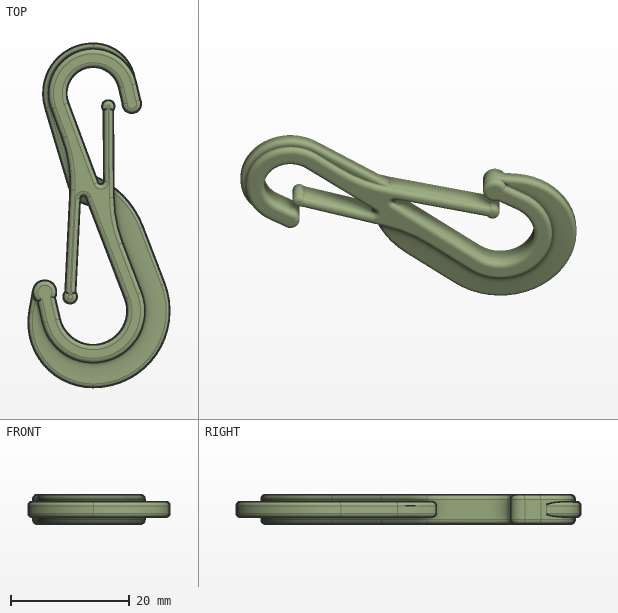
import cadquery as cq
import math


BODY_HEIGHT = 5.0
BODY_FILLET = 0.8
RIM_HEIGHT = 2.6
RIM_FILLET = 0.65
HOOK_SPACING = 36.83
NOSE_ANGLE = 13.0
RIM_NOSE_ANGLE = 10.0
CROTCH_RADIUS = 0.5
BLEND_RADIUS = 22.0

LARGE = dict(
    turned=False,
    eye_radius=5.75,
    bar_radius=8.8,
    spine_angle=21.0,
    nose_length=4.94,
    nose_radius=2.0,
    gate_tip=(-3.88, 2.4),
    gate_tilt=2.8,
    gate_width=1.8,
    gate_tip_radius=1.18,
    rim_radius=13.0,
    rim_nose_radius=11.0,
    rim_nose_length=3.4,
    rim_angle=21.0,
    rim_line_length=10.3,
    shoulder_radius=15.2,
    shoulder_sweep=48.0,
)
SMALL = dict(
    turned=True,
    eye_radius=4.45,
    bar_radius=7.55,
    spine_angle=20.4,
    nose_length=3.17,
    nose_radius=1.6,
    gate_tip=(-2.58, 2.2),
    gate_tilt=-0.4,
    gate_width=1.7,
    gate_tip_radius=1.07,
    rim_radius=8.5,
    rim_nose_radius=7.2,
    rim_nose_length=1.5,
    rim_angle=16.7,
    rim_line_length=13.9,
    shoulder_radius=4.65,
    shoulder_sweep=72.0,
)


def polar(radius, angle, centre=(0.0, 0.0)):
    """Point at a radius and an angle in degrees about a centre."""
    turn = math.radians(angle)
    return (centre[0] + radius * math.cos(turn), centre[1] + radius * math.sin(turn))


def place(hook, point):
    """Move a point from a hook's own frame to the part's frame."""
    x, y = point
    return (-x, HOOK_SPACING - y) if hook["turned"] else (x, y)


def middle_radius(hook):
    """Radius of the bar's centre line around the eye."""
    return (hook["eye_radius"] + hook["bar_radius"]) / 2


def nose_tip(hook):
    """Centre of the round post at the end of the nose."""
    start = polar(middle_radius(hook), 180 + NOSE_ANGLE)
    return polar(hook["nose_length"], 90 + NOSE_ANGLE, start)


def line_crossing(start_a, angle_a, start_b, angle_b):
    """Crossing of two lines, each given by a point and a direction in degrees."""
    ax, ay = polar(1, angle_a)
    bx, by = polar(1, angle_b)
    dx = start_b[0] - start_a[0]
    dy = start_b[1] - start_a[1]
    reach = (dx * by - dy * bx) / (ax * by - ay * bx)
    return (start_a[0] + reach * ax, start_a[1] + reach * ay)


def round_corner(corner, angle_in, angle_out, radius):
    """Start, middle and end of the arc rounding a corner; both angles point away from the corner."""
    half = math.radians((angle_out - angle_in) / 2)
    bisector = (angle_in + angle_out) / 2
    setback = radius / abs(math.tan(half))
    to_middle = radius / abs(math.sin(half)) - radius
    start = polar(setback, angle_in, corner)
    middle = polar(to_middle, bisector, corner)
    end = polar(setback, angle_out, corner)
    return start, middle, end


def gate_angle(hook):
    """Direction of the gate from its tip to its root, in degrees."""
    return 90 - hook["gate_tilt"]


def gate_side(hook, side):
    """Point level with the gate tip on its outer (side = 1) or inner (side = -1) face."""
    return polar(side * hook["gate_width"] / 2, 90 + gate_angle(hook), hook["gate_tip"])


def add_half_outline(outline, hook, other):
    """From the outer side of a hook's nose tip, along its eye and gate, to the other hook's nose tip."""
    def at(point):
        return place(hook, point)

    eye = hook["eye_radius"]
    bar = hook["bar_radius"]
    half_bar = (bar - eye) / 2
    tip = nose_tip(hook)
    spine_direction = 90 + hook["spine_angle"]

    outline = outline.threePointArc(
        at(polar(half_bar, 90 + NOSE_ANGLE, tip)), at(polar(half_bar, NOSE_ANGLE, tip)))
    outline = outline.lineTo(*at(polar(eye, 180 + NOSE_ANGLE)))
    spine_start = polar(eye, hook["spine_angle"])
    outline = outline.threePointArc(at(polar(eye, 270)), at(spine_start))

    gate_inner = gate_side(hook, -1)
    crotch = line_crossing(spine_start, spine_direction, gate_inner, gate_angle(hook))
    start, mid, end = round_corner(
        crotch, spine_direction + 180, gate_angle(hook) + 180, CROTCH_RADIUS)
    outline = outline.lineTo(*at(start)).threePointArc(at(mid), at(end))

    gate_outer = gate_side(hook, 1)
    gate_end = polar(hook["gate_width"] / 2, gate_angle(hook) + 180, hook["gate_tip"])
    outline = outline.lineTo(*at(gate_inner)).threePointArc(at(gate_end), at(gate_outer))

    back_direction = 90 + other["spine_angle"]
    back_point = polar(other["bar_radius"], other["spine_angle"])
    back_in_this_frame = (-back_point[0], HOOK_SPACING - back_point[1])
    corner = line_crossing(gate_outer, gate_angle(hook), back_in_this_frame, back_direction)
    start, mid, end = round_corner(corner, gate_angle(hook) + 180, back_direction, BLEND_RADIUS)
    outline = outline.lineTo(*at(start)).threePointArc(at(mid), at(end))

    def at_other(point):
        return place(other, point)

    other_bar = other["bar_radius"]
    other_half_bar = (other_bar - other["eye_radius"]) / 2
    outline = outline.lineTo(*at_other(back_point))
    outline = outline.threePointArc(
        at_other(polar(other_bar, 270)), at_other(polar(other_bar, 180 + NOSE_ANGLE)))
    return outline.lineTo(*at_other(polar(other_half_bar, 180 + NOSE_ANGLE, nose_tip(other))))


def extrude_centred(outline, height):
    """Extrude a closed outline equally above and below the XY plane."""
    return outline.extrude(height / 2, both=True)


def round_flat_edges(solid, radius):
    """Fillet the top and bottom edges of a flat-faced solid."""
    return solid.faces("|Z").edges().fillet(radius)


def make_body():
    """Full-height bar that forms both hooks, the spine and both gates."""
    half_bar = (LARGE["bar_radius"] - LARGE["eye_radius"]) / 2
    start = polar(half_bar, 180 + NOSE_ANGLE, nose_tip(LARGE))
    outline = cq.Workplane("XY").moveTo(*place(LARGE, start))
    outline = add_half_outline(outline, LARGE, SMALL)
    outline = add_half_outline(outline, SMALL, LARGE)
    return round_flat_edges(extrude_centred(outline.close(), BODY_HEIGHT), BODY_FILLET)


def make_bulb(hook, centre, radius):
    """Round post that thickens the end of a nose or a gate."""
    circle = cq.Workplane("XY").center(*place(hook, centre)).circle(radius)
    return round_flat_edges(extrude_centred(circle, BODY_HEIGHT), BODY_FILLET)


def make_rim(hook):
    """Thinner plate around the back of a hook; its inner edge is buried along the middle of the bar."""
    def at(point):
        return place(hook, point)

    middle = middle_radius(hook)
    rim = hook["rim_radius"]
    rim_angle = hook["rim_angle"]
    nose_rim = hook["rim_nose_radius"]
    nose_rim_centre = (0.0, nose_rim - rim)

    inner_end = polar(middle, 180 + NOSE_ANGLE)
    rim_start = polar(nose_rim, 180 - RIM_NOSE_ANGLE, nose_rim_centre)
    rim_tip = polar(hook["rim_nose_length"], 90 - RIM_NOSE_ANGLE, rim_start)
    outline = cq.Workplane("XY").moveTo(*at(inner_end)).lineTo(*at(rim_tip)).lineTo(*at(rim_start))
    outline = outline.threePointArc(at(polar(nose_rim, 225, nose_rim_centre)), at((0, -rim)))
    line_start = polar(rim, rim_angle)
    line_end = polar(hook["rim_line_length"], 90 + rim_angle, line_start)
    outline = outline.threePointArc(at(polar(rim, 315)), at(line_start)).lineTo(*at(line_end))

    shoulder = hook["shoulder_radius"]
    sweep = hook["shoulder_sweep"]
    shoulder_centre = polar(shoulder, rim_angle + 180, line_end)
    outline = outline.threePointArc(
        at(polar(shoulder, rim_angle + sweep / 2, shoulder_centre)),
        at(polar(shoulder, rim_angle + sweep, shoulder_centre)))

    outline = outline.lineTo(*at(polar(middle, hook["spine_angle"])))
    outline = outline.threePointArc(at(polar(middle, 270)), at(inner_end)).close()
    return round_flat_edges(extrude_centred(outline, RIM_HEIGHT), RIM_FILLET)


result = make_body()
for hook in (LARGE, SMALL):
    result = result.union(make_bulb(hook, nose_tip(hook), hook["nose_radius"]))
    result = result.union(make_bulb(hook, hook["gate_tip"], hook["gate_tip_radius"]))
    result = result.union(make_rim(hook))